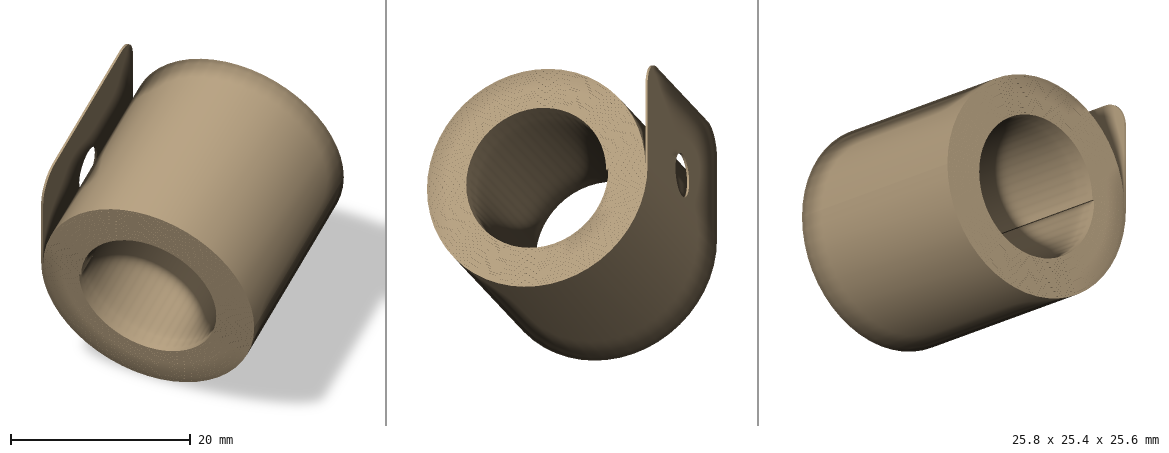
import cadquery as cq

coil_width_x = 25.75
strip_width = 25.4
strip_thickness = 0.25
turn_gap = 0.005
turn_count = 18

tab_height = 12.75
tab_corner_radius = 3.27
tab_hole_diameter = 5.0
tab_hole_height = 3.2

pitch = strip_thickness + turn_gap
half_turn_step = pitch / 2
outer_radius = (coil_width_x + half_turn_step) / 2
half_turn_count = 2 * turn_count

below = -1
above = 1


def wind(profile, start_radius, radius_step, first_half):
    """Add tangent semicircles from the left; first_half tells below or above the axis."""
    side = -1
    half = first_half
    for index in range(half_turn_count):
        from_radius = start_radius + index * radius_step
        to_radius = from_radius + radius_step
        arc_radius = (from_radius + to_radius) / 2
        arc_center_x = side * (from_radius - to_radius) / 2
        profile = profile.threePointArc(
            (arc_center_x, half * arc_radius),
            (-side * to_radius, 0),
        )
        side = -side
        half = -half
    return profile


def make_coil():
    """Spiral strip, centered along Y, with both ends at the left of the axis."""
    inner_face_radius = outer_radius - strip_thickness
    inner_end_radius = inner_face_radius - turn_count * pitch
    profile = cq.Workplane("XZ").moveTo(-outer_radius, 0)
    profile = wind(profile, outer_radius, -half_turn_step, below)
    profile = profile.lineTo(-inner_end_radius, 0)
    profile = wind(profile, inner_end_radius, half_turn_step, above)
    return profile.close().extrude(strip_width / 2, both=True)


def make_tab():
    """Straight tangent end of the strip, with rounded corners and a hole."""
    tab = (
        cq.Workplane("XY")
        .box(strip_thickness, strip_width, tab_height, centered=(False, True, False))
        .edges("|X and >Z")
        .fillet(tab_corner_radius)
    )
    hole = (
        cq.Workplane("YZ")
        .center(0, tab_hole_height)
        .circle(tab_hole_diameter / 2)
        .extrude(strip_thickness)
    )
    return tab.cut(hole).translate((-outer_radius, 0, 0))


result = make_coil().union(make_tab())